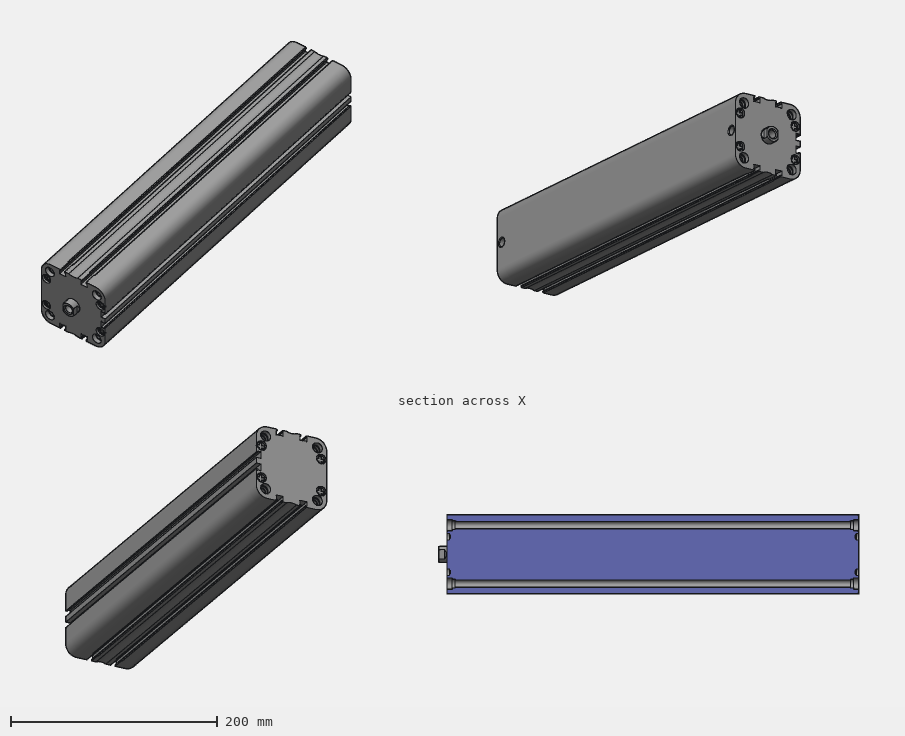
import cadquery as cq

width = 77.0
overall_length = 407.0
rod_projection = 8.0
body_length = overall_length - rod_projection
cap_length = 13.4
corner_radius = 12.0
half_width = width / 2

slot_offset = 12.9
slot_mouth = 5.0
slot_inner_width = 7.4
slot_depth = 6.0
slot_lip = 1.6
mouth_chamfer = 0.9

side_web = 6.0
side_slot_width = 7.2
side_slot_lip = 1.2
side_slot_depth = 4.9
side_lip_thickness = 1.6

channel_width = 10.8
channel_depth = 1.2

mount_offset = 28.3
mount_diameter = 6.65
mount_step = 8.38
mount_counterbore = 10.5
mount_counterbore_depth = 5.0
mount_step_depth = 8.0

screw_x = 32.5
screw_z = 17.2
screw_recess_diameter = 9.8
screw_recess_depth = 2.5
cross_span = 8.0
cross_width = 2.8
cross_depth = 1.0

port_inset = 7.3
port_mouth_diameter = 10.3
port_bore_diameter = 8.57
port_depth = 8.0
port_passage_diameter = 4.0
port_passage_depth = 14.0

rod_diameter = 16.0
rod_bevel_length = 1.6
rod_bevel_depth = 0.4
rod_flats = 13.0
flat_runout_start = 0.6
flat_runout_end = 2.5
thread_bore = 8.38
thread_mouth = 10.5
thread_depth = 20.0


def along_y(y):
    """Workplane across the cylinder axis at y; local x, y are X, Z and the normal is -Y."""
    return cq.Workplane(cq.Plane(origin=(0, y, 0), xDir=(1, 0, 0), normal=(0, -1, 0)))


def channel_cutter(y_start, length):
    """Shallow arc-shaped channel for the top face, running from y_start towards +Y."""
    profile = along_y(y_start).moveTo(-channel_width / 2, half_width)
    profile = profile.threePointArc((0, half_width - channel_depth), (channel_width / 2, half_width))
    return profile.close().extrude(-length)


def bar(y_start, length):
    """Rounded square bar from y_start towards +Y, with a channel along its top and bottom."""
    blank = along_y(y_start).rect(width, width).extrude(-length).edges("|Y").fillet(corner_radius)
    channel = channel_cutter(y_start, length)
    return blank.cut(channel).cut(channel.mirror("XY"))


def slot_cutter():
    """T-slot for the top face, centred on X = 0, over the full length."""
    floor = half_width - slot_depth
    mouth = along_y(0).center(0, half_width - slot_depth / 2).rect(slot_mouth, slot_depth)
    inner_height = slot_depth - slot_lip
    inner = along_y(0).center(0, floor + inner_height / 2).rect(slot_inner_width, inner_height)
    return mouth.extrude(-body_length).union(inner.extrude(-body_length))


def mouth_chamfer_cutter():
    """Bevel along the slot mouth; the front cap keeps a sharp mouth."""
    half_mouth = slot_mouth / 2
    profile = along_y(cap_length).polyline([
        (-half_mouth - mouth_chamfer, half_width),
        (-half_mouth, half_width - mouth_chamfer),
        (half_mouth, half_width - mouth_chamfer),
        (half_mouth + mouth_chamfer, half_width),
    ]).close()
    return profile.extrude(-(body_length - cap_length))


def side_slot_cutter():
    """Upper slot of the +X face, with a lip on its outer wall only."""
    inner_wall = side_web / 2
    outer_wall = inner_wall + side_slot_width
    lip_x = half_width - side_lip_thickness
    profile = along_y(0).polyline([
        (half_width, inner_wall),
        (half_width - side_slot_depth, inner_wall),
        (half_width - side_slot_depth, outer_wall),
        (lip_x, outer_wall),
        (lip_x, outer_wall - side_slot_lip),
        (half_width, outer_wall - side_slot_lip),
    ]).close()
    return profile.extrude(-body_length)


def mount_hole_cutter():
    """Through holes in the four corners, stepped and counterbored at the front face."""
    holes = along_y(0).rect(2 * mount_offset, 2 * mount_offset, forConstruction=True).vertices()
    through = holes.circle(mount_diameter / 2).extrude(-body_length)
    step = holes.circle(mount_step / 2).extrude(-mount_step_depth)
    counterbore = holes.circle(mount_counterbore / 2).extrude(-mount_counterbore_depth)
    return through.union(step).union(counterbore)


def screw_cutter():
    """Round screw recesses with cross sockets at the front face."""
    centres = along_y(0).rect(2 * screw_x, 2 * screw_z, forConstruction=True).vertices()
    socket_bottom = screw_recess_depth + cross_depth
    recess = centres.circle(screw_recess_diameter / 2).extrude(-screw_recess_depth)
    level_slot = centres.rect(cross_span, cross_width).extrude(-socket_bottom)
    upright_slot = centres.rect(cross_width, cross_span).extrude(-socket_bottom)
    return recess.union(level_slot).union(upright_slot)


def port_cutter(y):
    """Stepped air port entering the -X face, with a bevelled mouth."""
    mouth_bevel = (port_mouth_diameter - port_bore_diameter) / 2
    profile = cq.Workplane("XY").polyline([
        (0, 0),
        (0, port_mouth_diameter / 2),
        (mouth_bevel, port_bore_diameter / 2),
        (port_depth, port_bore_diameter / 2),
        (port_depth, port_passage_diameter / 2),
        (port_passage_depth, port_passage_diameter / 2),
        (port_passage_depth, 0),
    ]).close()
    return profile.revolve(360, (0, 0), (1, 0)).translate((-half_width, y, 0))


def flat_cutter():
    """Material outside the +X wrench flat, with a sloping run-out towards the cap."""
    profile = cq.Workplane("XY").polyline([
        (rod_diameter / 2, -flat_runout_start),
        (rod_flats / 2, -flat_runout_end),
        (rod_flats / 2, -rod_projection),
        (rod_diameter / 2, -rod_projection),
    ]).close()
    return profile.extrude(rod_diameter / 2, both=True)


def rod_end():
    """Bevelled rod end in front of the cap, with two wrench flats facing +X and -X."""
    radius = rod_diameter / 2
    profile = cq.Workplane("XY").polyline([
        (0, 0),
        (radius, 0),
        (radius, rod_bevel_length - rod_projection),
        (radius - rod_bevel_depth, -rod_projection),
        (0, -rod_projection),
    ]).close()
    rod = profile.revolve(360, (0, 0), (0, 1))
    return rod.cut(flat_cutter()).cut(flat_cutter().mirror("YZ"))


def thread_cutter():
    """Plain thread-core bore of the rod end, with a bevelled mouth."""
    mouth_bevel = (thread_mouth - thread_bore) / 2
    bore = along_y(-rod_projection).circle(thread_bore / 2).extrude(-thread_depth)
    bevel = cq.Solid.makeCone(
        thread_mouth / 2, thread_bore / 2, mouth_bevel, cq.Vector(0, -rod_projection, 0), cq.Vector(0, 1, 0)
    )
    return bore.union(cq.Workplane(bevel))


rear_cap_start = body_length - cap_length
body = bar(0, cap_length)
body = body.union(bar(cap_length, rear_cap_start - cap_length), clean=False)
body = body.union(bar(rear_cap_start, cap_length), clean=False)

slot_cutters = [side_slot_cutter()]
for x in (-slot_offset, slot_offset):
    slot_cutters.append(slot_cutter().translate((x, 0, 0)))
    slot_cutters.append(mouth_chamfer_cutter().translate((x, 0, 0)))
for cutter in slot_cutters:
    body = body.cut(cutter, clean=False)
    body = body.cut(cutter.mirror("XY"), clean=False)

for cutter in (mount_hole_cutter(), screw_cutter()):
    body = body.cut(cutter, clean=False)
    body = body.cut(cutter.mirror("XZ", (0, body_length / 2, 0)), clean=False)

for port_y in (port_inset, body_length - port_inset):
    body = body.cut(port_cutter(port_y), clean=False)

result = body.union(rod_end(), clean=False).cut(thread_cutter(), clean=False)